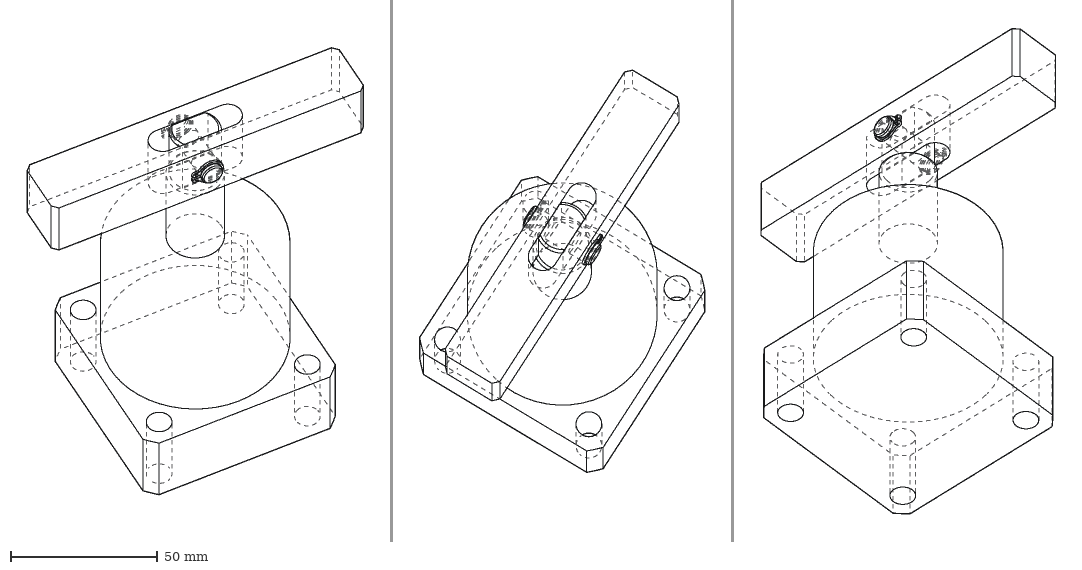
import cadquery as cq
import math

base_side = 74.0
base_height = 27.0
corner_diameter = 99.0
mount_hole_diameter = 8.8
mount_hole_spacing = 57.0
body_diameter = 65.0
body_top = 80.0
body_fillet = 4.0

arm_width = 22.0
arm_length = 120.0
arm_height = 22.0
arm_corner_chamfer = 2.0
arm_top = 136.5
arm_bottom = arm_top - arm_height
slot_width = 10.0
slot_length = 35.0

rod_diameter = 20.0
rod_chamfer = 1.0
tongue_diameter = rod_diameter - 2 * rod_chamfer
shoulder_clearance = 0.5
shoulder_height = arm_bottom - shoulder_clearance
tongue_recess = 0.5
tongue_top = arm_top - tongue_recess
tongue_chamfer = 1.0

pin_diameter = 8.0
pin_length = 27.0
pin_chamfer = 0.5
pin_height = arm_bottom + arm_height / 2
groove_diameter = 7.6

clip_thickness = 0.8
clip_diameter = 9.6
ear_reach = 7.0
ear_root_reach = 4.6
ear_width = 4.6
ear_gap = 1.0
ear_corner_radius = 1.0
ear_hole_diameter = 1.0
ear_hole_reach = 5.4
ear_hole_spacing = 2.4


def make_housing():
    turned_corners = cq.Workplane("XY").circle(corner_diameter / 2).extrude(base_height)
    base = (
        cq.Workplane("XY")
        .rect(base_side, base_side)
        .extrude(base_height)
        .intersect(turned_corners)
    )
    body = (
        cq.Workplane("XY")
        .circle(body_diameter / 2)
        .extrude(body_top)
        .faces(">Z")
        .edges()
        .fillet(body_fillet)
    )
    mount_holes = (
        cq.Workplane("XY")
        .rect(mount_hole_spacing, mount_hole_spacing, forConstruction=True)
        .vertices()
        .circle(mount_hole_diameter / 2)
        .extrude(base_height)
    )
    return base.union(body).cut(mount_holes)


def make_pin_bore():
    return (
        cq.Workplane("YZ", origin=(-arm_width / 2, 0, pin_height))
        .circle(pin_diameter / 2)
        .extrude(arm_width)
    )


def make_rod():
    shaft = (
        cq.Workplane("XY", origin=(0, 0, body_top))
        .circle(rod_diameter / 2)
        .extrude(shoulder_height - body_top)
        .faces(">Z")
        .chamfer(rod_chamfer)
    )
    tongue_height = tongue_top - shoulder_height
    shoulder = cq.Workplane("XY", origin=(0, 0, shoulder_height))
    flat_sides = shoulder.rect(slot_width, rod_diameter).extrude(tongue_height)
    tongue = (
        shoulder.circle(tongue_diameter / 2)
        .extrude(tongue_height)
        .faces(">Z")
        .chamfer(tongue_chamfer)
        .intersect(flat_sides)
    )
    return shaft.union(tongue).cut(make_pin_bore())


def make_arm():
    slot = (
        cq.Workplane("XY", origin=(0, 0, arm_bottom))
        .slot2D(slot_length, slot_width, 90)
        .extrude(arm_height)
    )
    return (
        cq.Workplane("XY", origin=(0, 0, arm_bottom))
        .rect(arm_width, arm_length)
        .extrude(arm_height)
        .edges("|Z")
        .chamfer(arm_corner_chamfer)
        .cut(slot)
        .cut(make_pin_bore())
    )


def clip_start(side):
    """X of the clip's lower-X face; side is -1 or +1 and the clip lies against the arm."""
    return side * (arm_width + clip_thickness) / 2 - clip_thickness / 2


def make_pin():
    pin = (
        cq.Workplane("YZ", origin=(-pin_length / 2, 0, pin_height))
        .circle(pin_diameter / 2)
        .extrude(pin_length)
        .faces("<X or >X")
        .chamfer(pin_chamfer)
    )
    for side in (-1, 1):
        groove = (
            cq.Workplane("YZ", origin=(clip_start(side), 0, pin_height))
            .circle(pin_diameter / 2)
            .circle(groove_diameter / 2)
            .extrude(clip_thickness)
        )
        pin = pin.cut(groove)
    return pin


def make_clip(side):
    plane = cq.Workplane("YZ", origin=(clip_start(side), 0, pin_height))
    ring = plane.circle(clip_diameter / 2).extrude(clip_thickness)
    ring_radius = clip_diameter / 2
    half_width = ear_width / 2
    root_distance = math.hypot(ear_root_reach, half_width)
    tangent_angle = math.atan2(half_width, ear_root_reach) + math.acos(ring_radius / root_distance)
    tangent_reach = ring_radius * math.cos(tangent_angle)
    tangent_offset = ring_radius * math.sin(tangent_angle)
    ears = (
        plane.moveTo(0, 0)
        .lineTo(-tangent_reach, tangent_offset)
        .lineTo(-ear_root_reach, half_width)
        .lineTo(-ear_reach, half_width)
        .lineTo(-ear_reach, -half_width)
        .lineTo(-ear_root_reach, -half_width)
        .lineTo(-tangent_reach, -tangent_offset)
        .close()
        .extrude(clip_thickness)
        .edges("|X and <Y")
        .fillet(ear_corner_radius)
    )
    gap = plane.center(-ear_reach / 2, 0).rect(ear_reach, ear_gap).extrude(clip_thickness)
    ear_holes = (
        plane.pushPoints([(-ear_hole_reach, end * ear_hole_spacing / 2) for end in (-1, 1)])
        .circle(ear_hole_diameter / 2)
        .extrude(clip_thickness)
    )
    bore = plane.circle(groove_diameter / 2).extrude(clip_thickness)
    return ring.union(ears).cut(gap).cut(ear_holes).cut(bore)


housing = make_housing()
rod = make_rod()
arm = make_arm()
pin = make_pin()
clips = [make_clip(side) for side in (-1, 1)]

result = cq.Compound.makeCompound(
    [housing.val(), rod.val(), arm.val(), pin.val(), *[clip.val() for clip in clips]]
)